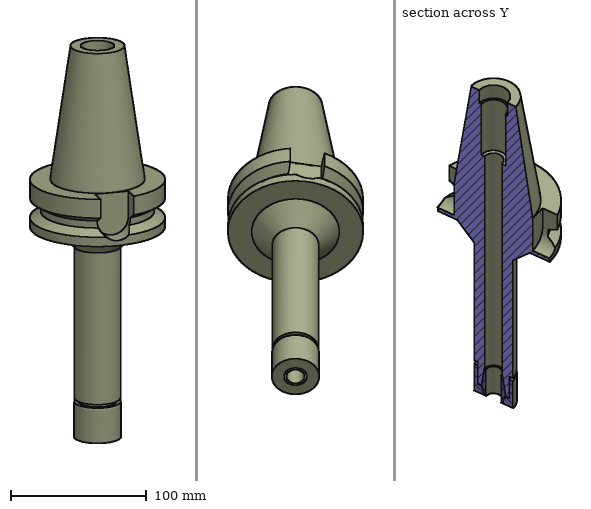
import cadquery as cq
import math

TOTAL_LENGTH = 301.8
GAUGE_Z = 200.0
FLANGE_BOTTOM_Z = 162.0
FLANGE_THICKNESS = 36.5
FLANGE_TOP_Z = FLANGE_BOTTOM_Z + FLANGE_THICKNESS

TAPER_RADIUS = 69.7 / 2
TAPER_RATIO = 7 / 24
TAPER_TIP_RADIUS = TAPER_RADIUS - (TOTAL_LENGTH - GAUGE_Z) * TAPER_RATIO / 2

FLANGE_RADIUS = 100.0 / 2
UPPER_RIM_HEIGHT = 14.5
LOWER_RIM_HEIGHT = 7.2
GROOVE_RADIUS = 42.0
GROOVE_FLANK_HEIGHT = (FLANGE_RADIUS - GROOVE_RADIUS) * math.tan(math.radians(30))
SLOT_WIDTH = 25.7
SLOT_DEPTH_Z = 32.5
SLOT_FLOOR_X = 35.0

SHANK_RADIUS = 17.2
SHOULDER_HEIGHT = 15.0
SHOULDER_RADIUS = SHANK_RADIUS + SHOULDER_HEIGHT
SHANK_END_Z = 30.0
NOSE_RADIUS = 14.2
NOSE_END_Z = 8.0

MOUTH_RADIUS = 12.5
MOUTH_DEPTH = 13.0
THREAD_RADIUS = 10.5
THREAD_DEPTH = 63.5
BORE_RADIUS = 7.5

NUT_RADIUS = 17.5
NUT_HEIGHT = 27.2
NUT_CHAMFER_HEIGHT = 1.8
NUT_CHAMFER_WIDTH = 0.3

COLLET_MAX_RADIUS = 10.5
COLLET_FRONT_RADIUS = 8.5
COLLET_BORE_RADIUS = 6.5
COLLET_PRESS_HEIGHT = (COLLET_MAX_RADIUS - COLLET_FRONT_RADIUS) / math.tan(math.radians(30))
COLLET_PRESS_Z = NOSE_END_Z - COLLET_PRESS_HEIGHT
COLLET_TOP_Z = 27.0
COLLET_TOP_RADIUS = COLLET_MAX_RADIUS - (COLLET_TOP_Z - NOSE_END_Z) * math.tan(math.radians(8))


def revolve_profile(points):
    """Turn a closed (radius, height) outline about the Z axis."""
    return cq.Workplane("XZ").polyline(points).close().revolve(360, (0, 0), (0, 1))


def cylinder(radius, bottom_z, top_z):
    return cq.Workplane("XY").workplane(offset=bottom_z).circle(radius).extrude(top_z - bottom_z)


def make_collet_blank():
    """Outer shape of the collet, without its bore."""
    return revolve_profile([
        (0, 0),
        (COLLET_FRONT_RADIUS, 0),
        (COLLET_FRONT_RADIUS, COLLET_PRESS_Z),
        (COLLET_MAX_RADIUS, NOSE_END_Z),
        (COLLET_TOP_RADIUS, COLLET_TOP_Z),
        (0, COLLET_TOP_Z),
    ])


def make_drive_slot(side):
    """Round-bottomed slot cutter, open at the top and rim; side is +1 or -1 along X."""
    slot_radius = SLOT_WIDTH / 2
    bottom_z = FLANGE_TOP_Z - SLOT_DEPTH_Z
    arc_start_z = bottom_z + slot_radius
    return (
        cq.Workplane("YZ")
        .workplane(offset=side * SLOT_FLOOR_X)
        .moveTo(-slot_radius, FLANGE_TOP_Z)
        .lineTo(-slot_radius, arc_start_z)
        .threePointArc((0, bottom_z), (slot_radius, arc_start_z))
        .lineTo(slot_radius, FLANGE_TOP_Z)
        .close()
        .extrude(side * FLANGE_RADIUS)
    )


def make_holder():
    groove_bottom_z = FLANGE_BOTTOM_Z + LOWER_RIM_HEIGHT
    groove_top_z = FLANGE_TOP_Z - UPPER_RIM_HEIGHT
    holder = revolve_profile([
        (0, NOSE_END_Z),
        (NOSE_RADIUS, NOSE_END_Z),
        (NOSE_RADIUS, SHANK_END_Z),
        (SHANK_RADIUS, SHANK_END_Z),
        (SHANK_RADIUS, FLANGE_BOTTOM_Z - SHOULDER_HEIGHT),
        (SHOULDER_RADIUS, FLANGE_BOTTOM_Z),
        (FLANGE_RADIUS, FLANGE_BOTTOM_Z),
        (FLANGE_RADIUS, groove_bottom_z),
        (GROOVE_RADIUS, groove_bottom_z + GROOVE_FLANK_HEIGHT),
        (GROOVE_RADIUS, groove_top_z - GROOVE_FLANK_HEIGHT),
        (FLANGE_RADIUS, groove_top_z),
        (FLANGE_RADIUS, FLANGE_TOP_Z),
        (TAPER_RADIUS, FLANGE_TOP_Z),
        (TAPER_RADIUS, GAUGE_Z),
        (TAPER_TIP_RADIUS, TOTAL_LENGTH),
        (0, TOTAL_LENGTH),
    ])

    for side in (-1, 1):
        holder = holder.cut(make_drive_slot(side))

    holder = holder.cut(cylinder(BORE_RADIUS, NOSE_END_Z, TOTAL_LENGTH))
    holder = holder.cut(cylinder(THREAD_RADIUS, TOTAL_LENGTH - THREAD_DEPTH, TOTAL_LENGTH))
    holder = holder.cut(cylinder(MOUTH_RADIUS, TOTAL_LENGTH - MOUTH_DEPTH, TOTAL_LENGTH))
    return holder.cut(make_collet_blank())


def make_nut():
    """Nut around the holder nose, with a seat for the front of the collet."""
    nut = revolve_profile([
        (0, 0),
        (NUT_RADIUS, 0),
        (NUT_RADIUS, NUT_HEIGHT - NUT_CHAMFER_HEIGHT),
        (NUT_RADIUS - NUT_CHAMFER_WIDTH, NUT_HEIGHT),
        (0, NUT_HEIGHT),
    ])
    nut = nut.cut(cylinder(NOSE_RADIUS, NOSE_END_Z, NUT_HEIGHT))
    return nut.cut(make_collet_blank())


def make_collet():
    return make_collet_blank().cut(cylinder(COLLET_BORE_RADIUS, 0, COLLET_TOP_Z))


holder = make_holder()
nut = make_nut()
collet = make_collet()

result = cq.Compound.makeCompound([holder.val(), nut.val(), collet.val()])